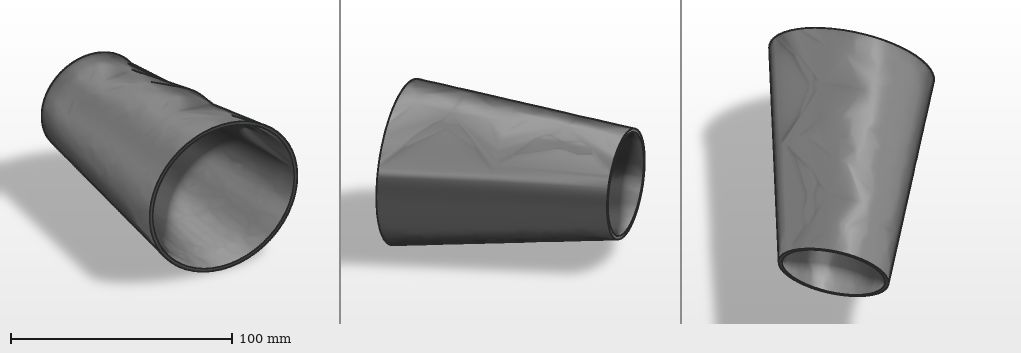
import cadquery as cq

length = 101.6
large_diameter = 76.2
small_diameter = 50.8
wall = 1.6

end_offset = (large_diameter - small_diameter) / 2


def oblique_cone(small_end_diameter, large_end_diameter):
    """Straight-sided solid between the small end at X = 0 and the large end at X = length."""
    return (
        cq.Workplane("YZ")
        .center(-end_offset, 0)
        .circle(small_end_diameter / 2)
        .workplane(offset=length)
        .center(end_offset, 0)
        .circle(large_end_diameter / 2)
        .loft(ruled=True)
    )


outer_body = oblique_cone(small_diameter, large_diameter)
bore = oblique_cone(small_diameter - 2 * wall, large_diameter - 2 * wall)

result = outer_body.cut(bore)